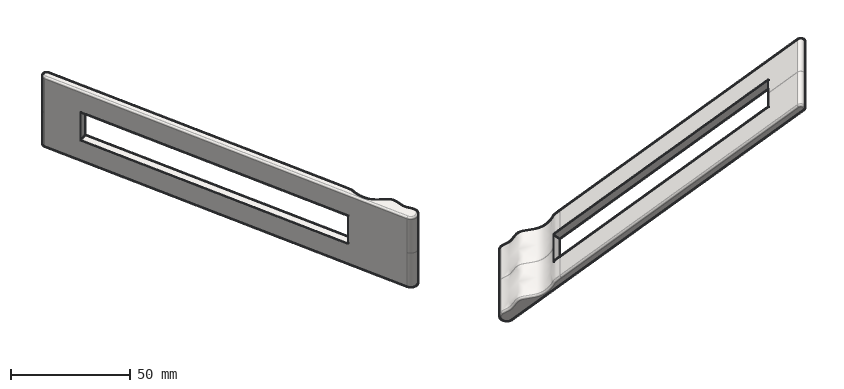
import cadquery as cq
length = 180.2
width = 40.0
thickness = 4.0

plain_end_radius = thickness / 2
grip_end_radius = 3.2
grip_height = 2 * grip_end_radius

wave_start = (144.2, thickness)
ramp_middle = (149.7, 3.2)
valley = (155.3, 2.3)
slope_middle = (161.8, 4.9)
crest = (166.1, 7.0)
dip = (172.6, 6.0)
grip_end = (length - grip_end_radius, grip_height)

side_round = 0.9

window_start = 19.5
window_length = 129.0
window_width = 15.9


def side_profile():
    """Closed outline in the XY plane."""
    return (
        cq.Workplane("XY")
        .moveTo(plain_end_radius, 0)
        .lineTo(grip_end[0], 0)
        .threePointArc((length, grip_end_radius), grip_end)
        .spline([dip, crest, slope_middle, valley, ramp_middle, wave_start],
                tangents=[(-1, 0), (-1, 0)], includeCurrent=True)
        .lineTo(plain_end_radius, thickness)
        .radiusArc((0, plain_end_radius), -plain_end_radius)
        .radiusArc((plain_end_radius, 0), -plain_end_radius)
        .close()
    )


def plate():
    """Profile swept across the width with its long sides rounded."""
    body = side_profile().extrude(width / 2, both=True)
    return body.faces("<Z or >Z").edges().fillet(side_round)


def window():
    """Through cutter for the centred rectangular window."""
    return cq.Workplane("XY").box(
        window_length, 2 * thickness, window_width
    ).translate((window_start + window_length / 2, thickness / 2, 0))


result = plate().cut(window())